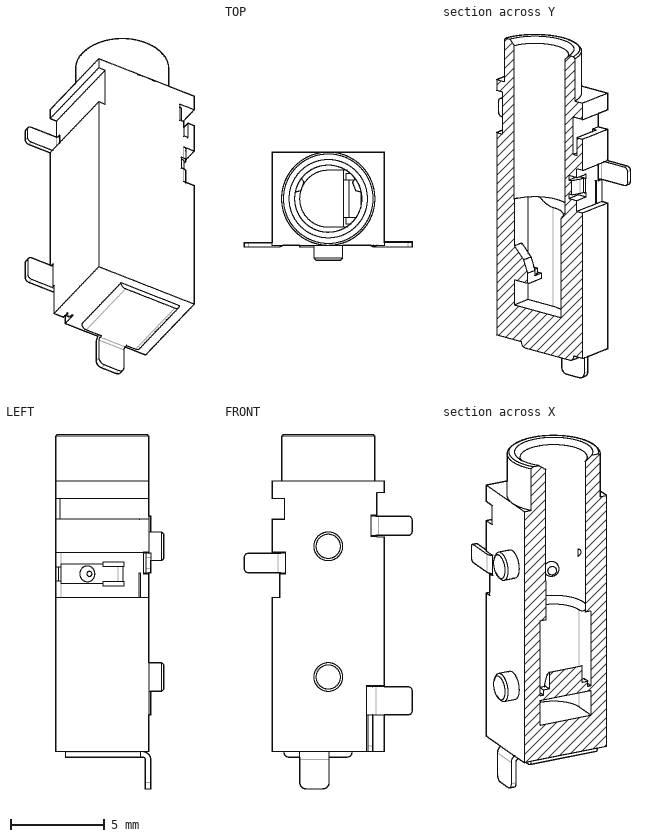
import cadquery as cq
import math

BODY_WIDTH, BODY_DEPTH, BODY_HEIGHT = 6.0, 5.0, 14.5
HALF_WIDTH = BODY_WIDTH / 2
FRONT_Y, BACK_Y = -BODY_DEPTH / 2, BODY_DEPTH / 2

BARREL_RADIUS, BARREL_HEIGHT, BARREL_CHAMFER = 2.5, 2.5, 0.1
BARREL_TOP = BODY_HEIGHT + BARREL_HEIGHT
MOUTH_RADIUS, BORE_RADIUS, INNER_RADIUS = 2.1, 1.8, 1.53
SEAT_TOP, SEAT_BOTTOM, BORE_FLOOR = 8.0, 7.6, 2.0
WELL_RIGHT = 1.75

PEG_RADIUS, PEG_LENGTH, PEG_CHAMFER = 0.77, 0.8, 0.12
PEG_HEIGHTS = (4.0, 11.0)

UPPER_NOTCH_DEPTH, UPPER_NOTCH_BOTTOM, UPPER_NOTCH_TOP = 0.65, 12.45, 13.55
UPPER_NOTCH_STEP_Y, UPPER_NOTCH_STEP = 2.27, 0.25
SIDE_NOTCH_DEPTH = 0.4
SIDE_NOTCH_X = HALF_WIDTH - SIDE_NOTCH_DEPTH
LEFT_NOTCH_BOTTOM, LEFT_NOTCH_TOP = 8.27, 10.67
LEFT_NOTCH_ROUND = 0.28
RIGHT_NOTCH_BOTTOM, RIGHT_NOTCH_TOP = 11.5, 13.87
GROOVE_Y, GROOVE_WIDTH, GROOVE_DEPTH = -2.0, 0.08, 0.15
UPPER_GROOVE_DROP = 1.0

TERMINAL_REACH = 4.5
TERMINAL_OUTER_Y = FRONT_Y - 0.1
TERMINAL_THICKNESS, TERMINAL_BEND, TERMINAL_CORNER = 0.25, 0.4, 0.22
THICK_TERMINAL, THICK_TERMINAL_BEND = 0.3, 0.5
TERMINAL_LEG_END_Y = -1.8
SMALL_ROOT_X, LARGE_ROOT_X = 2.3, 2.05
LEFT_TERMINAL_Z = (9.58, 10.63)
RIGHT_TERMINAL_Z = (11.58, 12.62)
LARGE_TERMINAL_Z = (1.97, 3.48)
POCKET_DEPTH, POCKET_GAP = 0.3, 0.06

RELIEF_WALL_X, RELIEF_DEPTH = 2.41, 0.4
LEG_SLOT_DEPTH, LEG_GAP, LEG_ROUND = 0.8, 0.07, 0.3

PLATE_LEFT, PLATE_RIGHT, PLATE_FRONT, PLATE_BACK = -2.38, 1.28, -2.05, 1.98
PLATE_THICKNESS, PLATE_ROUND = 0.3, 0.28
TAB_LEFT, TAB_RIGHT, TAB_BOTTOM = -1.53, 0.05, -2.0
TAB_BEND, TAB_CORNER = 0.42, 0.35

WINDOW_BOTTOM, WINDOW_TOP = 9.0, 10.05
WINDOW_FRONT, WINDOW_BACK = -1.1, 2.2
TONGUE_BEND_Y, TONGUE_FRONT_X, TONGUE_BEND_X, TONGUE_BACK_X = -0.85, -2.48, -2.42, -1.2
EAR_FRONT, EAR_BACK, EAR_RISE, EAR_LAP, EAR_DEPTH = -1.17, -0.05, 0.12, 0.12, 0.55
REAR_OPENING_X, REAR_MARGIN = -2.2, 0.15
STUD_LEFT_X, STUD_REAR_Y = -2.45, 2.35
DIMPLE_Y, DIMPLE_MOUTH, DIMPLE_TIP, DIMPLE_DEPTH, DIMPLE_WALL = 0.8, 0.43, 0.14, 0.3, 0.1
RIGHT_BUMP_RISE = 2.0

SPRING_NOSE_X, SPRING_KNEE_X, SPRING_HALF_WIDTH = 0.82, 1.1, 1.0
SPRING_TOP, SPRING_KNEE_Z, SPRING_NOSE_Z, SPRING_BOTTOM = 5.5, 4.7, 4.0, 3.4
LUG_HALF_SPAN, LUG_RISE, LEDGE_HALF_SPAN = 1.35, 0.3, 1.56
SPRING_ROOT_X = 1.9


def block(x0, x1, y0, y1, z0, z1):
    """Axis-aligned box given by its limits."""
    return cq.Workplane("XY").box(x1 - x0, y1 - y0, z1 - z0, centered=False).translate((x0, y0, z0))


def xz_prism(profile, y0, y1):
    """Straight-edged XZ profile extruded from y0 to y1."""
    return cq.Workplane("XZ", origin=(0, y1, 0)).polyline(profile).close().extrude(y1 - y0)


def make_housing():
    body = block(-HALF_WIDTH, HALF_WIDTH, FRONT_Y, BACK_Y, 0, BODY_HEIGHT)
    barrel = cq.Workplane("XY", origin=(0, 0, BODY_HEIGHT)).circle(BARREL_RADIUS).extrude(BARREL_HEIGHT)
    barrel = barrel.faces(">Z").chamfer(BARREL_CHAMFER)
    body = body.union(barrel)
    for z in PEG_HEIGHTS:
        peg = cq.Workplane("XZ", origin=(0, FRONT_Y, z)).circle(PEG_RADIUS).extrude(PEG_LENGTH)
        body = body.union(peg.faces("<Y").chamfer(PEG_CHAMFER))
    return body


def make_bore():
    """Bore with a conical mouth and seat, ending in a U-shaped well."""
    mouth_depth = MOUTH_RADIUS - BORE_RADIUS
    profile = [
        (0, BORE_FLOOR), (INNER_RADIUS, BORE_FLOOR), (INNER_RADIUS, SEAT_BOTTOM),
        (BORE_RADIUS, SEAT_TOP), (BORE_RADIUS, BARREL_TOP - mouth_depth),
        (MOUTH_RADIUS, BARREL_TOP), (0, BARREL_TOP),
    ]
    bore = cq.Workplane("XZ").polyline(profile).close().revolve(360, (0, 0), (0, 1))
    return bore.union(block(0, WELL_RIGHT, -INNER_RADIUS, INNER_RADIUS, BORE_FLOOR, SEAT_TOP))


def cut_side_notches(body):
    upper_x = UPPER_NOTCH_DEPTH - HALF_WIDTH
    body = body.cut(block(-HALF_WIDTH, upper_x, FRONT_Y, BACK_Y, UPPER_NOTCH_BOTTOM, UPPER_NOTCH_TOP))
    body = body.cut(block(-HALF_WIDTH, upper_x + UPPER_NOTCH_STEP, UPPER_NOTCH_STEP_Y, BACK_Y,
                          UPPER_NOTCH_BOTTOM, UPPER_NOTCH_TOP))
    body = body.cut(block(-SIDE_NOTCH_X, upper_x, GROOVE_Y, BACK_Y,
                          UPPER_NOTCH_BOTTOM - UPPER_GROOVE_DROP, UPPER_NOTCH_BOTTOM))
    left = block(-HALF_WIDTH, -SIDE_NOTCH_X, FRONT_Y, BACK_Y, LEFT_NOTCH_BOTTOM, LEFT_NOTCH_TOP)
    right = block(SIDE_NOTCH_X, HALF_WIDTH, FRONT_Y, BACK_Y, RIGHT_NOTCH_BOTTOM, RIGHT_NOTCH_TOP)
    groove = block(-SIDE_NOTCH_X, GROOVE_DEPTH - SIDE_NOTCH_X, GROOVE_Y - GROOVE_WIDTH / 2,
                   GROOVE_Y + GROOVE_WIDTH / 2, LEFT_NOTCH_BOTTOM, LEFT_TERMINAL_Z[0])
    body = body.cut(left).cut(right).cut(groove)

    r = LEFT_NOTCH_ROUND
    corner = (
        cq.Workplane("XY", origin=(0, 0, LEFT_NOTCH_BOTTOM))
        .moveTo(-SIDE_NOTCH_X, BACK_Y - r)
        .radiusArc((-SIDE_NOTCH_X + r, BACK_Y), r)
        .lineTo(-SIDE_NOTCH_X, BACK_Y)
        .close()
        .extrude(LEFT_NOTCH_TOP - LEFT_NOTCH_BOTTOM)
    )
    return body.cut(corner)


def cut_terminal_pockets(body):
    pocket_y = FRONT_Y + POCKET_DEPTH
    for side, root, (z0, z1) in (
        (-1, SMALL_ROOT_X, LEFT_TERMINAL_Z),
        (1, SMALL_ROOT_X, RIGHT_TERMINAL_Z),
        (1, LARGE_ROOT_X, LARGE_TERMINAL_Z),
    ):
        x0, x1 = sorted((side * root, side * HALF_WIDTH))
        body = body.cut(block(x0, x1, FRONT_Y, pocket_y, z0 - POCKET_GAP, z1 + POCKET_GAP))
    relief = block(RELIEF_WALL_X, HALF_WIDTH, FRONT_Y, FRONT_Y + RELIEF_DEPTH, 0, LARGE_TERMINAL_Z[0])
    slot = block(LARGE_ROOT_X, RELIEF_WALL_X, FRONT_Y, FRONT_Y + LEG_SLOT_DEPTH, 0, LARGE_TERMINAL_Z[0])
    return body.cut(relief).cut(slot)


def make_terminal(side, root, z_range, thickness, bend):
    """L-bent strip: a leg running into the housing and a flat foot pointing outward."""
    z0, z1 = z_range
    inner_bend = bend - thickness
    outer_y = TERMINAL_OUTER_Y
    strip = (
        cq.Workplane("XY", origin=(0, 0, z0))
        .moveTo(root, TERMINAL_LEG_END_Y)
        .lineTo(root, outer_y + bend)
        .radiusArc((root + bend, outer_y), -bend)
        .lineTo(TERMINAL_REACH, outer_y)
        .lineTo(TERMINAL_REACH, outer_y + thickness)
        .lineTo(root + bend, outer_y + thickness)
        .radiusArc((root + thickness, outer_y + bend), inner_bend)
        .lineTo(root + thickness, TERMINAL_LEG_END_Y)
        .close()
        .extrude(z1 - z0)
    )
    strip = strip.faces(">X").edges("|Y").fillet(TERMINAL_CORNER)
    return strip if side > 0 else strip.mirror("YZ")


def make_large_terminal_leg():
    """Contact leg running down the slot below the large terminal."""
    leg = block(LARGE_ROOT_X + LEG_GAP, RELIEF_WALL_X - LEG_GAP / 2, FRONT_Y + RELIEF_DEPTH,
                FRONT_Y + LEG_SLOT_DEPTH, 0, LARGE_TERMINAL_Z[0])
    return leg.edges("<Y and <Z").fillet(LEG_ROUND)


def make_ground_plate():
    plate = block(PLATE_LEFT, PLATE_RIGHT, PLATE_FRONT, PLATE_BACK, -PLATE_THICKNESS, 0)
    plate = plate.faces("<Z").edges("|Y").fillet(PLATE_ROUND)
    outer_y = TERMINAL_OUTER_Y
    t = PLATE_THICKNESS
    tab = (
        cq.Workplane("YZ", origin=(TAB_LEFT, 0, 0))
        .moveTo(PLATE_FRONT, 0)
        .lineTo(outer_y + TAB_BEND, 0)
        .radiusArc((outer_y, -TAB_BEND), -TAB_BEND)
        .lineTo(outer_y, TAB_BOTTOM)
        .lineTo(outer_y + t, TAB_BOTTOM)
        .lineTo(outer_y + t, -TAB_BEND)
        .radiusArc((outer_y + TAB_BEND, -t), TAB_BEND - t)
        .lineTo(PLATE_FRONT, -t)
        .close()
        .extrude(TAB_RIGHT - TAB_LEFT)
    )
    tab = tab.faces("<Z").edges("|Y").fillet(TAB_CORNER)
    return plate.union(tab)


def make_rear_opening():
    """Cut through the rear corner of the left notch at window height."""
    return block(-SIDE_NOTCH_X, REAR_OPENING_X, WINDOW_BACK, BACK_Y,
                 WINDOW_BOTTOM + REAR_MARGIN, WINDOW_TOP - REAR_MARGIN)


def cut_contact_window(body):
    """Window with a slanted tongue as its floor, ear slots and a dimple pressed into the bore.

    The opposite contact shows a matching bump in the bore, higher up.
    """
    window = (
        cq.Workplane("XY", origin=(0, 0, WINDOW_BOTTOM))
        .polyline([
            (-SIDE_NOTCH_X, WINDOW_FRONT), (TONGUE_FRONT_X, WINDOW_FRONT),
            (TONGUE_BEND_X, TONGUE_BEND_Y), (TONGUE_BACK_X, WINDOW_BACK), (-SIDE_NOTCH_X, WINDOW_BACK),
        ])
        .close()
        .extrude(WINDOW_TOP - WINDOW_BOTTOM)
    )

    slope = (TONGUE_BACK_X - TONGUE_BEND_X) / (WINDOW_BACK - TONGUE_BEND_Y)
    tilt = math.atan(slope)
    inward = cq.Vector(math.cos(tilt), -math.sin(tilt), 0)
    centre = cq.Vector(TONGUE_BEND_X + slope * (DIMPLE_Y - TONGUE_BEND_Y), DIMPLE_Y,
                       (WINDOW_BOTTOM + WINDOW_TOP) / 2)
    bump = cq.Solid.makeCone(DIMPLE_MOUTH + DIMPLE_WALL, DIMPLE_TIP + DIMPLE_WALL,
                             DIMPLE_DEPTH + DIMPLE_WALL, centre, inward)
    hollow = cq.Solid.makeCone(DIMPLE_MOUTH, DIMPLE_TIP, DIMPLE_DEPTH, centre, inward)
    left_bump = cq.Workplane(bump)
    right_bump = left_bump.mirror("YZ").translate((0, 0, RIGHT_BUMP_RISE))
    body = body.union(left_bump).union(right_bump).cut(window)
    for z0, z1 in (
        (WINDOW_BOTTOM - EAR_RISE, WINDOW_BOTTOM + EAR_LAP),
        (WINDOW_TOP - EAR_LAP, WINDOW_TOP + EAR_RISE),
    ):
        body = body.cut(block(-SIDE_NOTCH_X, EAR_DEPTH - SIDE_NOTCH_X, EAR_FRONT, EAR_BACK, z0, z1))
    return body.cut(make_rear_opening()).cut(cq.Workplane(hollow))


def make_contact_stud():
    """Small rear end of the contact, standing in the rear opening of the window."""
    return block(STUD_LEFT_X, REAR_OPENING_X, WINDOW_BACK, STUD_REAR_Y,
                 WINDOW_BOTTOM, WINDOW_TOP)


def make_tip_spring():
    """Spring leaf sloping from the bore wall down to a nose, with a lug on each side."""
    leaf = xz_prism([
        (SPRING_ROOT_X, SPRING_TOP), (SPRING_KNEE_X, SPRING_KNEE_Z), (SPRING_NOSE_X, SPRING_NOSE_Z),
        (SPRING_NOSE_X, SPRING_BOTTOM), (SPRING_ROOT_X, SPRING_BOTTOM),
    ], -SPRING_HALF_WIDTH, SPRING_HALF_WIDTH)
    lug_top = SPRING_BOTTOM + LUG_RISE
    ledge = block(SPRING_NOSE_X, SPRING_ROOT_X, -LEDGE_HALF_SPAN, LEDGE_HALF_SPAN,
                  SPRING_BOTTOM, lug_top)
    posts = block(SPRING_KNEE_X - LUG_RISE / 2, SPRING_ROOT_X, -LUG_HALF_SPAN,
                  LUG_HALF_SPAN, SPRING_BOTTOM, lug_top + LUG_RISE)
    return leaf.union(ledge).union(posts)


housing = cut_side_notches(make_housing().cut(make_bore()))
housing = cut_terminal_pockets(housing)
housing = cut_contact_window(housing)
result = (
    housing
    .union(make_contact_stud())
    .union(make_terminal(-1, SMALL_ROOT_X, LEFT_TERMINAL_Z, TERMINAL_THICKNESS, TERMINAL_BEND))
    .union(make_terminal(1, SMALL_ROOT_X, RIGHT_TERMINAL_Z, TERMINAL_THICKNESS, TERMINAL_BEND))
    .union(make_terminal(1, LARGE_ROOT_X, LARGE_TERMINAL_Z, THICK_TERMINAL, THICK_TERMINAL_BEND))
    .union(make_large_terminal_leg())
    .union(make_ground_plate())
    .union(make_tip_spring())
)